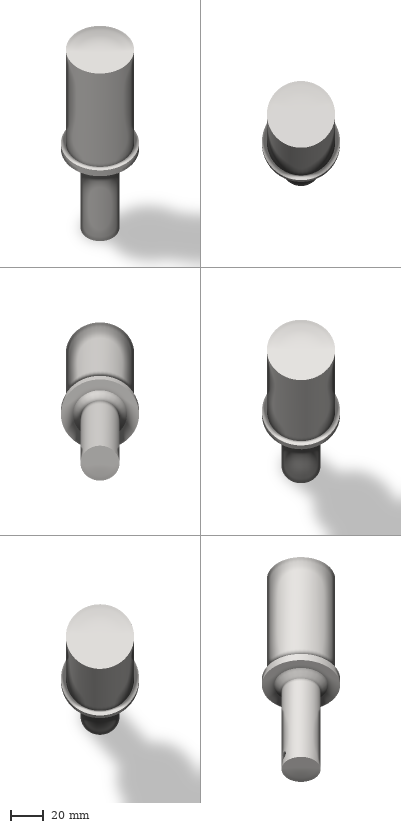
import cadquery as cq

total_height = 152.5
shank_diameter = 24.0
head_diameter = 42.0
collar_diameter = 48.0
cone_top_diameter = 33.1

shank_height = 62.8
cone_height = 4.5
collar_thickness = 5.0

cross_hole_diameter = 5.2
cross_hole_height = 6.7

collar_bottom = shank_height + cone_height
collar_top = collar_bottom + collar_thickness

profile = (
    cq.Workplane("XZ")
    .moveTo(0, 0)
    .lineTo(shank_diameter / 2, 0)
    .lineTo(shank_diameter / 2, shank_height)
    .lineTo(cone_top_diameter / 2, collar_bottom)
    .lineTo(collar_diameter / 2, collar_bottom)
    .lineTo(collar_diameter / 2, collar_top)
    .lineTo(head_diameter / 2, collar_top)
    .lineTo(head_diameter / 2, total_height)
    .lineTo(0, total_height)
    .close()
)

pin = profile.revolve(360, (0, 0, 0), (0, 1, 0))

cross_hole = (
    cq.Workplane("XZ")
    .center(0, cross_hole_height)
    .circle(cross_hole_diameter / 2)
    .extrude(-shank_diameter)
)

result = pin.cut(cross_hole)